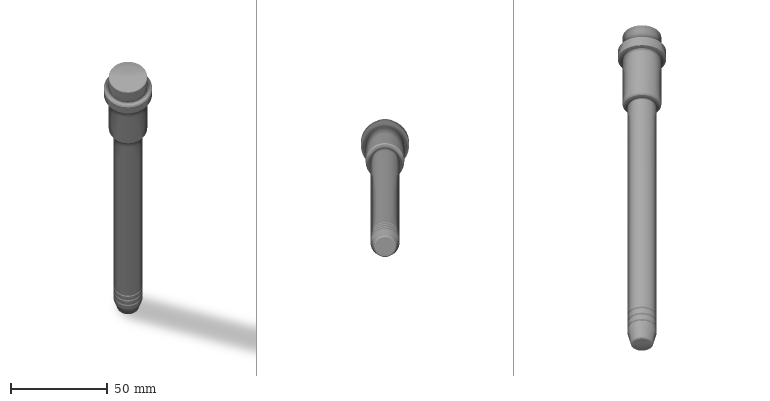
import cadquery as cq

total_length = 200.0
head_height = 9.0
collar_height = 6.0
shoulder_length = 30.0
collar_top = total_length - head_height
collar_bottom = collar_top - collar_height
shoulder_bottom = collar_bottom - shoulder_length

collar_radius = 25.0 / 2
shoulder_radius = 20.0 / 2
shank_radius = 15.0 / 2
tip_radius = 11.5 / 2

head_chamfer = 0.3
collar_chamfer = 0.5
shoulder_chamfer = 0.5
relief_depth = 0.2
relief_width = 1.0
neck_depth = 0.5
neck_length = 1.2

taper_length = 7.2
tip_chamfer = 0.5
groove_count = 3
groove_pitch = 4.0
first_groove_height = 10.5
groove_width = 1.0
groove_depth = 0.5


def make_body():
    """Revolve the half profile of the stepped pin about Z."""
    return (
        cq.Workplane("XZ")
        .moveTo(0, 0)
        .lineTo(tip_radius - tip_chamfer, 0)
        .lineTo(tip_radius, tip_chamfer)
        .lineTo(shank_radius, taper_length)
        .lineTo(shank_radius, shoulder_bottom - neck_length)
        .lineTo(shank_radius - neck_depth, shoulder_bottom)
        .lineTo(shoulder_radius - shoulder_chamfer, shoulder_bottom)
        .lineTo(shoulder_radius, shoulder_bottom + shoulder_chamfer)
        .lineTo(shoulder_radius, collar_bottom)
        .lineTo(collar_radius, collar_bottom)
        .lineTo(collar_radius, collar_top - collar_chamfer)
        .lineTo(collar_radius - collar_chamfer, collar_top)
        .lineTo(shoulder_radius, collar_top)
        .lineTo(shoulder_radius, total_length - head_chamfer)
        .lineTo(shoulder_radius - head_chamfer, total_length)
        .lineTo(0, total_length)
        .close()
        .revolve(360, (0, 0, 0), (0, 1, 0))
    )


def groove_cutter(radius, depth, center, width):
    """Ring of triangular section that cuts a V groove into a cylinder of the given radius."""
    return (
        cq.Workplane("XZ")
        .moveTo(radius, center - width / 2)
        .lineTo(radius - depth, center)
        .lineTo(radius, center + width / 2)
        .close()
        .revolve(360, (0, 0, 0), (0, 1, 0))
    )


result = make_body()

for relief_center in (collar_top + relief_width / 2, collar_bottom - relief_width / 2):
    result = result.cut(groove_cutter(shoulder_radius, relief_depth, relief_center, relief_width))

for index in range(groove_count):
    groove_center = first_groove_height + index * groove_pitch
    result = result.cut(groove_cutter(shank_radius, groove_depth, groove_center, groove_width))